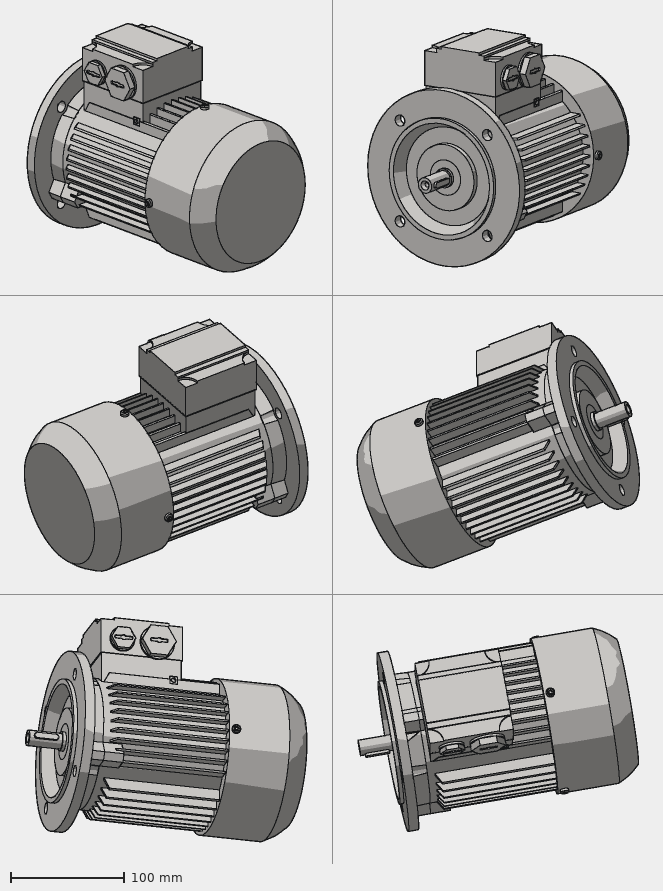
import cadquery as cq
import math


shaft_tip_x = -30.0
spigot_face_x = -3.5
flange_back_x = 9.0
recess_floor_x = 8.3
bearing_boss_x = 3.0
joint_x = 23.0
fin_start_x = 29.4
fin_full_x = 34.5
lug_end_x = 40.7
cowl_front_x = 135.3
cowl_shoulder_x = 190.4
motor_end_x = 210.0

flange_radius = 80.0
spigot_radius = 55.0
recess_mouth_radius = 50.5
recess_floor_radius = 44.6
bearing_boss_radius = 30.0
shield_neck_radius = 59.2
bolt_circle_radius = 65.0
bolt_count = 4
bolt_start_angle = 45
bolt_hole_diameter = 10.0
bolt_notch_radius = 7.8
relief_outer_y = -18.5
relief_rim_z = 56.2
relief_root_z = 55.2
relief_end_x = 22.0

body_radius = 58.5
fin_tip_radius = 66.0
fin_pitch = 9.0
fin_thickness = 1.6
fins_per_group = 9
lug_count = 3
lug_top_radius = 68.9
lug_top_half_width = 3.9
lug_foot_half_width = 10.8
lug_foot_radius = 57.3

box_front_x = 26.5
box_size = 74.8
box_center_x = box_front_x + box_size / 2
box_bottom_z = 73.4
box_rim_z = 107.3
box_step_z = 109.1
box_top_z = 111.29
box_step_half_width = 25.0
box_plateau_half_width = 20.0
corner_pocket_z = 105.2
corner_pocket_radius = box_size / 2 - box_step_half_width
base_setback = 0.9
base_size = box_size - 2 * base_setback
small_plug_x = 45.8
small_washer_radius = 11.1
small_plug_flats = 19.2
small_plug_height = 6.0
small_slot_length = 16.5
large_plug_x = 77.8
large_washer_radius = 15.5
large_plug_flats = 27.0
large_plug_height = 8.2
large_slot_length = 15.9
plug_center_z = 87.3
plug_washer_thickness = 2.0
plug_slot_width = 2.9
plug_slot_depth = 1.5
plug_slot_bore = 4.6

earth_x = 93.2
earth_z = 54.0
earth_size = 7.0
earth_hole_diameter = 4.2
earth_face_y = -37.3
earth_hole_depth = 2.0

cowl_radius = 69.6
cowl_end_radius = 56.2
cowl_bulge = 0.9
screw_x = 141.1
screw_angles = (-90, 0, 90)
screw_head_radius = 3.8
screw_head_top_radius = 72.7
screw_edge_chamfer = 1.0
screw_socket_flats = 3.0
screw_socket_depth = 2.0

shaft_radius = 7.0
shaft_collar_radius = 8.6
seal_radius = 16.0
center_bore_radius = 2.1
center_bore_depth = 12.5
center_sink_radius = 4.1
center_sink_half_angle = math.radians(30)
key_width = 5.0
key_height = 5.0
key_length = 22.0
key_start_x = -26.0
key_top = 9.0


def revolve_about_x(profile):
    """Solid of revolution about X from (x, radius) points."""
    return cq.Workplane("XY").polyline(profile).close().revolve(360, (0, 0, 0), (1, 0, 0))


def rod(x_start, x_end, radius):
    """Cylinder along the motor axis."""
    return cq.Workplane("YZ", origin=(x_start, 0, 0)).circle(radius).extrude(x_end - x_start)


def lugs(x_start, x_end):
    """Trapezoidal clamping lugs, equally spaced about X with one at the top."""
    profile = [
        (-lug_top_half_width, lug_top_radius),
        (lug_top_half_width, lug_top_radius),
        (lug_foot_half_width, lug_foot_radius),
        (lug_foot_half_width, 0),
        (-lug_foot_half_width, 0),
        (-lug_foot_half_width, lug_foot_radius),
    ]
    lug = cq.Workplane("YZ", origin=(x_start, 0, 0)).polyline(profile).close().extrude(x_end - x_start)
    group = lug
    for i in range(1, lug_count):
        group = group.union(lug.rotate((0, 0, 0), (1, 0, 0), i * 360 / lug_count))
    return group


def bolt_cylinders(x_start, x_end, radius):
    """Cylinders parallel to X on the flange bolt circle."""
    return (
        cq.Workplane("YZ", origin=(x_start, 0, 0))
        .polarArray(bolt_circle_radius, bolt_start_angle, 360, bolt_count)
        .circle(radius)
        .extrude(x_end - x_start)
    )


def lug_relief():
    """Triangular relief beside the top lug, its floor falling towards the lug."""
    root_y = -lug_foot_half_width
    plan = (
        cq.Workplane("XY")
        .polyline([(flange_back_x, root_y), (flange_back_x, relief_outer_y), (relief_end_x, root_y)])
        .close()
        .extrude(lug_top_radius)
    )
    section = [
        (relief_outer_y, relief_rim_z),
        (root_y, relief_root_z),
        (root_y, lug_top_radius),
        (relief_outer_y, lug_top_radius),
    ]
    wedge = (
        cq.Workplane("YZ", origin=(flange_back_x, 0, 0))
        .polyline(section)
        .close()
        .extrude(relief_end_x - flange_back_x)
    )
    return plan.intersect(wedge)


def make_end_shield():
    """Mounting flange with spigot, front recess, lugged neck and the seal bore."""
    disc = revolve_about_x([
        (spigot_face_x, 0),
        (spigot_face_x, spigot_radius),
        (0, spigot_radius),
        (0, flange_radius),
        (flange_back_x, flange_radius),
        (flange_back_x, 0),
    ])
    neck = revolve_about_x([
        (flange_back_x, 0),
        (flange_back_x, shield_neck_radius),
        (joint_x, body_radius),
        (joint_x, 0),
    ])
    neck = neck.cut(lug_relief()).union(lugs(flange_back_x, joint_x))
    neck = neck.cut(bolt_cylinders(flange_back_x, joint_x, bolt_notch_radius))
    recess = revolve_about_x([
        (spigot_face_x, 0),
        (spigot_face_x, recess_mouth_radius),
        (recess_floor_x, recess_floor_radius),
        (recess_floor_x, bearing_boss_radius),
        (bearing_boss_x, bearing_boss_radius),
        (bearing_boss_x, 0),
    ])
    shield = disc.union(neck).cut(recess)
    shield = shield.cut(bolt_cylinders(0, flange_back_x, bolt_hole_diameter / 2))
    return shield.cut(rod(bearing_boss_x, joint_x, seal_radius))


def make_shaft_seal():
    """Ring filling the shield bore around the shaft collar, flush with the bearing boss."""
    seal = rod(bearing_boss_x, joint_x, seal_radius)
    return seal.cut(rod(bearing_boss_x, joint_x, shaft_collar_radius))


def make_key():
    """Round-ended parallel key on the -Y side of the shaft."""
    return (
        cq.Workplane("XZ", origin=(key_start_x + key_length / 2, -key_top, 0))
        .slot2D(key_length, key_width)
        .extrude(-key_height)
    )


def make_shaft(key):
    """Shaft end with collar, countersunk center hole and a keyway fitting the key."""
    shaft = rod(shaft_tip_x, 0, shaft_radius).union(rod(0, joint_x, shaft_collar_radius))
    sink_depth = (center_sink_radius - center_bore_radius) / math.tan(center_sink_half_angle)
    center_hole = revolve_about_x([
        (shaft_tip_x, 0),
        (shaft_tip_x, center_sink_radius),
        (shaft_tip_x + sink_depth, center_bore_radius),
        (shaft_tip_x + center_bore_depth, center_bore_radius),
        (shaft_tip_x + center_bore_depth, 0),
    ])
    return shaft.cut(center_hole).cut(key)


def make_fins():
    """Upright and level fin plates, trimmed to a cylinder with a conical lead-in."""
    envelope = revolve_about_x([
        (fin_start_x, 0),
        (fin_start_x, body_radius),
        (fin_full_x, fin_tip_radius),
        (cowl_front_x, fin_tip_radius),
        (cowl_front_x, 0),
    ])
    length = cowl_front_x - fin_start_x
    middle_x = (cowl_front_x + fin_start_x) / 2
    plates = cq.Workplane("XY")
    for i in range(fins_per_group):
        offset = (i - (fins_per_group - 1) / 2) * fin_pitch
        upright = cq.Workplane("XY").box(length, fin_thickness, 2 * fin_tip_radius)
        level = cq.Workplane("XY").box(length, 2 * fin_tip_radius, fin_thickness)
        plates = plates.add(upright.translate((middle_x, offset, 0)))
        plates = plates.add(level.translate((middle_x, 0, offset)))
    return plates.combine().intersect(envelope)


def make_housing():
    """Finned stator housing with its lugs, terminal box base and earth terminal."""
    housing = rod(joint_x, cowl_front_x, body_radius)
    housing = housing.union(make_fins()).union(lugs(joint_x, lug_end_x))
    box_base = (
        cq.Workplane("XY", origin=(box_center_x, 0, 0)).rect(base_size, base_size).extrude(box_bottom_z)
    )
    earth_block = (
        cq.Workplane("XZ", origin=(earth_x, earth_face_y, earth_z))
        .rect(earth_size, earth_size)
        .extrude(-earth_size)
    )
    earth_hole = (
        cq.Workplane("XZ", origin=(earth_x, earth_face_y, earth_z))
        .circle(earth_hole_diameter / 2)
        .extrude(-earth_hole_depth)
    )
    return housing.union(box_base).union(earth_block).cut(earth_hole)


def make_plug(center_x, washer_radius, across_flats, height, slot_length):
    """Hexagon blanking plug on the -Y wall, with a washer and a screwdriver slot."""
    wall_y = -box_size / 2
    plug = (
        cq.Workplane("XZ", origin=(center_x, wall_y, plug_center_z))
        .circle(washer_radius)
        .extrude(plug_washer_thickness)
        .faces("<Y")
        .workplane()
        .polygon(6, across_flats / math.cos(math.pi / 6))
        .extrude(height - plug_washer_thickness)
    )
    face = cq.Workplane("XZ", origin=(center_x, wall_y - height, plug_center_z))
    slot = face.slot2D(slot_length, plug_slot_width).extrude(-plug_slot_depth)
    bore = face.circle(plug_slot_bore / 2).extrude(-plug_slot_depth)
    return plug.cut(slot).cut(bore)


def make_terminal_box():
    """Stepped box top with corner pockets and two blanking plugs."""
    half = box_size / 2
    section = [
        (-half, box_bottom_z),
        (half, box_bottom_z),
        (half, box_rim_z),
        (box_step_half_width, box_rim_z),
        (box_step_half_width, box_step_z),
        (box_plateau_half_width, box_step_z),
        (box_plateau_half_width, box_top_z),
        (-box_plateau_half_width, box_top_z),
        (-box_plateau_half_width, box_step_z),
        (-box_step_half_width, box_step_z),
        (-box_step_half_width, box_rim_z),
        (-half, box_rim_z),
    ]
    box = cq.Workplane("YZ", origin=(box_front_x, 0, 0)).polyline(section).close().extrude(box_size)
    pockets = (
        cq.Workplane("XY", origin=(box_center_x, 0, corner_pocket_z))
        .rect(box_size, box_size, forConstruction=True)
        .vertices()
        .circle(corner_pocket_radius)
        .extrude(box_rim_z - corner_pocket_z)
    )
    box = box.cut(pockets)
    small_plug = make_plug(
        small_plug_x, small_washer_radius, small_plug_flats, small_plug_height, small_slot_length
    )
    large_plug = make_plug(
        large_plug_x, large_washer_radius, large_plug_flats, large_plug_height, large_slot_length
    )
    return box.union(small_plug).union(large_plug)


def make_cowl():
    """Fan cowl with a curved rear shoulder and its socket-head fixing screws."""
    crown_mid_x = (cowl_shoulder_x + motor_end_x) / 2 + cowl_bulge
    crown_mid_radius = (cowl_radius + cowl_end_radius) / 2 + cowl_bulge
    cowl = (
        cq.Workplane("XY")
        .moveTo(cowl_front_x, 0)
        .lineTo(cowl_front_x, cowl_radius)
        .lineTo(cowl_shoulder_x, cowl_radius)
        .threePointArc((crown_mid_x, crown_mid_radius), (motor_end_x, cowl_end_radius))
        .lineTo(motor_end_x, 0)
        .close()
        .revolve(360, (0, 0, 0), (1, 0, 0))
    )
    seat = cowl_radius - screw_head_radius
    screw = (
        cq.Workplane("XY", origin=(screw_x, 0, seat))
        .circle(screw_head_radius)
        .extrude(screw_head_top_radius - seat)
        .faces(">Z")
        .chamfer(screw_edge_chamfer)
    )
    socket = (
        cq.Workplane("XY", origin=(screw_x, 0, screw_head_top_radius))
        .polygon(6, screw_socket_flats / math.cos(math.pi / 6))
        .extrude(-screw_socket_depth)
    )
    screw = screw.cut(socket)
    for angle in screw_angles:
        cowl = cowl.union(screw.rotate((0, 0, 0), (1, 0, 0), angle))
    return cowl


end_shield = make_end_shield()
shaft_seal = make_shaft_seal()
shaft_key = make_key()
shaft = make_shaft(shaft_key)
housing = make_housing()
terminal_box = make_terminal_box()
cowl = make_cowl()

result = cq.Compound.makeCompound([
    end_shield.val(),
    shaft_seal.val(),
    shaft_key.val(),
    shaft.val(),
    housing.val(),
    terminal_box.val(),
    cowl.val(),
])